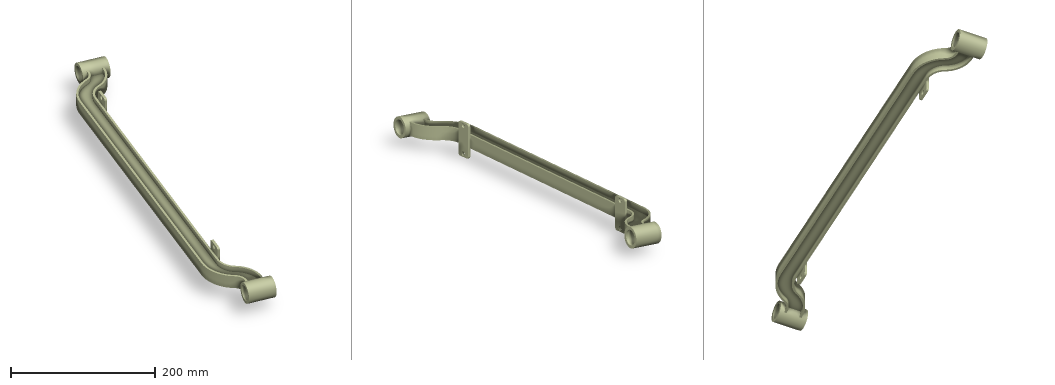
import cadquery as cq
import math

TOTAL_LENGTH = 620.0
TOTAL_DEPTH = 74.0

SLEEVE_OUTER_DIAMETER = 31.0
SLEEVE_BORE_DIAMETER = 22.5
SLEEVE_LENGTH = 41.5

BEAM_WIDTH = 26.0
BEAM_HEIGHT = 20.0
FLANGE_THICKNESS = 3.0
WEB_THICKNESS = 3.0

BEND_OUTER_X = 279.0
BEND_INNER_X = 217.0
BEND_RISE = 39.0
LOWER_BEND_RADIUS = 39.5

PLATE_SPACING = 400.0
PLATE_WIDTH = 25.0
PLATE_HEIGHT = 50.0
PLATE_THICKNESS = 4.0
PLATE_CORNER_RADIUS = 4.0
PLATE_HOLE_DIAMETER = 7.0
PLATE_HOLE_SPACING = 41.0

SLEEVE_X = (TOTAL_LENGTH - SLEEVE_OUTER_DIAMETER) / 2
SLEEVE_REAR_Y = TOTAL_DEPTH - BEAM_WIDTH / 2
SIDES = (-1, 1)

BEND_RUN = BEND_OUTER_X - BEND_INNER_X
BEND_ANGLE = 2 * math.atan(BEND_RISE / BEND_RUN)
UPPER_BEND_RADIUS = BEND_RUN / math.sin(BEND_ANGLE) - LOWER_BEND_RADIUS


def arc_point(center_x, center_y, radius, angle):
    """Point on an arc, with the angle measured from the +Y direction."""
    return (center_x + radius * math.sin(angle), center_y + radius * math.cos(angle))


def right_edge(offset):
    """Points of the right half of a curve parallel to the beam centreline, from the inner bend end outwards."""
    lower_center_y = LOWER_BEND_RADIUS
    lower_radius = LOWER_BEND_RADIUS - offset
    upper_center_y = BEND_RISE - UPPER_BEND_RADIUS
    upper_radius = UPPER_BEND_RADIUS + offset
    return [
        (BEND_INNER_X, offset),
        arc_point(BEND_INNER_X, lower_center_y, lower_radius, math.pi - BEND_ANGLE / 2),
        arc_point(BEND_INNER_X, lower_center_y, lower_radius, math.pi - BEND_ANGLE),
        arc_point(BEND_OUTER_X, upper_center_y, upper_radius, -BEND_ANGLE / 2),
        (BEND_OUTER_X, BEND_RISE + offset),
        (SLEEVE_X, BEND_RISE + offset),
    ]


def beam_strip(front_offset, rear_offset, height):
    """Strip between two parallels of the beam centreline, ending against the sleeves."""
    front = right_edge(front_offset)
    rear = right_edge(rear_offset)
    right_half = (
        cq.Workplane("XY", origin=(0, 0, -height / 2))
        .moveTo(0, front_offset)
        .lineTo(*front[0])
        .threePointArc(front[1], front[2])
        .threePointArc(front[3], front[4])
        .lineTo(*front[5])
        .lineTo(*rear[5])
        .lineTo(*rear[4])
        .threePointArc(rear[3], rear[2])
        .threePointArc(rear[1], rear[0])
        .lineTo(0, rear_offset)
        .close()
        .extrude(height)
        .cut(sleeve_cylinder(1, SLEEVE_OUTER_DIAMETER))
    )
    return right_half.union(right_half.mirror("YZ"), clean=True)


def sleeve_cylinder(side, diameter):
    """Solid cylinder on a sleeve axis, running forward from the sleeve's rear end."""
    return (
        cq.Workplane("XZ", origin=(side * SLEEVE_X, SLEEVE_REAR_Y, 0))
        .circle(diameter / 2)
        .extrude(SLEEVE_LENGTH)
    )


def make_sleeve(side):
    """Plain tube on the left (-1) or right (1) end."""
    outside = sleeve_cylinder(side, SLEEVE_OUTER_DIAMETER)
    return outside.cut(sleeve_cylinder(side, SLEEVE_BORE_DIAMETER))


def make_web():
    """Level plate between the two flanges, at mid-height."""
    half_width = BEAM_WIDTH / 2 - FLANGE_THICKNESS
    return beam_strip(-half_width, half_width, WEB_THICKNESS)


def make_flange(side):
    """Flange on the front (-1) or rear (1) edge of the web."""
    edges = sorted((side * BEAM_WIDTH / 2, side * (BEAM_WIDTH / 2 - FLANGE_THICKNESS)))
    return beam_strip(edges[0], edges[1], BEAM_HEIGHT)


def make_mounting_plate(side):
    """Upright plate against the rear flange, with a hole above and below the beam."""
    rear_y = BEAM_WIDTH / 2 + PLATE_THICKNESS
    return (
        cq.Workplane("XZ", origin=(side * PLATE_SPACING / 2, rear_y, 0))
        .rect(PLATE_WIDTH, PLATE_HEIGHT)
        .extrude(PLATE_THICKNESS)
        .edges("|Y")
        .fillet(PLATE_CORNER_RADIUS)
        .faces(">Y")
        .workplane(origin=(side * PLATE_SPACING / 2, rear_y, 0))
        .rarray(6, PLATE_HOLE_SPACING, 1, 2)
        .hole(PLATE_HOLE_DIAMETER)
    )


web = make_web()
flanges = [make_flange(side) for side in SIDES]
sleeves = [make_sleeve(side) for side in SIDES]
mounting_plates = [make_mounting_plate(side) for side in SIDES]

result = cq.Compound.makeCompound([
    web.val(),
    *[flange.val() for flange in flanges],
    *[sleeve.val() for sleeve in sleeves],
    *[plate.val() for plate in mounting_plates],
])